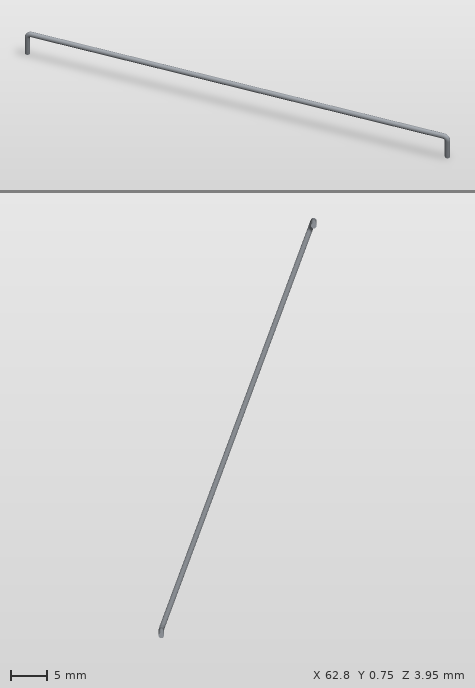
import cadquery as cq

overall_length = 62.75
overall_height = 3.95
wire_diameter = 0.75
bend_radius = 0.6

wire_radius = wire_diameter / 2
leg_x = overall_length / 2 - wire_radius
leg_bottom_z = 0.0
bar_z = overall_height - wire_radius
bend_start_z = bar_z - bend_radius
bar_end_x = leg_x - bend_radius

centreline = (
    cq.Workplane("XZ")
    .moveTo(-leg_x, leg_bottom_z)
    .lineTo(-leg_x, bend_start_z)
    .tangentArcPoint((-bar_end_x, bar_z), relative=False)
    .lineTo(bar_end_x, bar_z)
    .tangentArcPoint((leg_x, bend_start_z), relative=False)
    .lineTo(leg_x, leg_bottom_z)
)

result = (
    cq.Workplane("XY", origin=(-leg_x, 0, leg_bottom_z))
    .circle(wire_radius)
    .sweep(centreline)
)